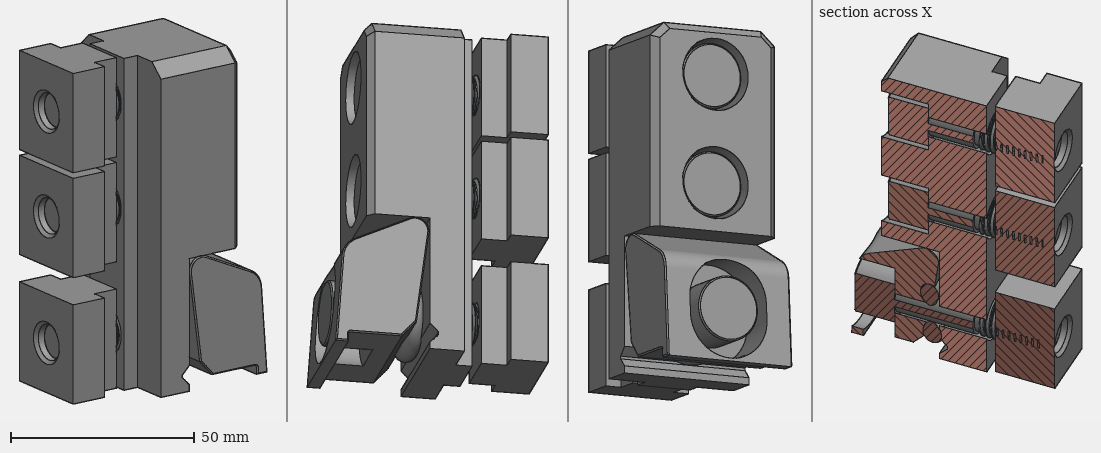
import cadquery as cq
import math

nut_flange_depth = 10.5
nut_depth = 17.75
key_front = 20.3
housing_front = 24.85
foot_back = 34.4
housing_back = 51.75
jaw_tip_y = 60.69

width = 38.1
height = 95.25
foot_height = 38.1
key_width = 16.0
shoulder_chamfer_x = 4.27
shoulder_chamfer_z = 3.9
back_chamfer = 2.0
notch_depth = 2.35
notch_flat = 0.75
notch_center_z = 4.7

nut_top_z = 95.96
nut_width = 25.3
nut_height = 28.5
nut_mouth_chamfer = 0.95
top_screw_z = nut_top_z - nut_height / 2
upper_screw_spacing = 30.1
lower_screw_spacing = 36.3
middle_screw_z = top_screw_z - upper_screw_spacing
jaw_screw_z = middle_screw_z - lower_screw_spacing

screw_radius = 6.0
thread_root_radius = 5.1
thread_pitch = 1.75
thread_crest_width = thread_pitch / 8
thread_root_width = thread_pitch * 7 / 8
thread_root_overlap = 0.1
thread_length = 19.0
screw_tip_y = 2.7
screw_tip_chamfer = 0.35
thread_start = screw_tip_y + thread_pitch / 2
thread_end = thread_start + thread_length
shank_start = thread_end + thread_pitch
head_radius = 9.0
head_height = 12.0
head_chamfer = 0.4
housing_screw_length = 35.0
jaw_screw_length = 45.0
jaw_screw_turn = 90
clearance_radius = 6.75
counterbore_radius = 10.0

jaw_tip_z = 0.5
jaw_lip_depth = 3.6
jaw_floor_z = 3.2
jaw_lip_fillet = 0.6
jaw_heel_y = 42.2
jaw_toe_y = 38.1
jaw_toe_z = 7.7
jaw_back_angle = 4.2
jaw_top_angle = 24.9
jaw_top_corner_z = 29.15
jaw_peak_y = 33.75
jaw_back_fillet = 6.35
jaw_edge_chamfer = 0.4
jaw_slot_width = 23.4
jaw_slot_length = 28.0

ring_tube_radius = 2.67
ring_radius = 9.13
ring_center_y = 36.92
ring_tilt = 3.0


def cylinder_y(radius, y_start, y_end, z):
    """Cylinder along Y at height z on the mid plane."""
    return cq.Workplane(
        cq.Solid.makeCylinder(radius, y_end - y_start, cq.Vector(0, y_start, z), cq.Vector(0, 1, 0))
    )


def extrude_across(outline):
    """Solid of full width from an outline of (Y, Z) points."""
    return cq.Workplane("YZ").polyline(outline).close().extrude(width / 2, both=True)


def thread_ridge(turn):
    """Helical ridge around the Y axis, rooted just inside the screw's core and turned by an angle."""
    root = thread_root_radius - thread_root_overlap
    helix = cq.Wire.makeHelix(thread_pitch, thread_length + thread_pitch, root)
    ridge = (
        cq.Workplane("XZ")
        .polyline([
            (root, -thread_root_width / 2),
            (screw_radius, -thread_crest_width / 2),
            (screw_radius, thread_crest_width / 2),
            (root, thread_root_width / 2),
        ])
        .close()
        .sweep(cq.Workplane(helix), isFrenet=True)
        .translate((0, 0, -thread_pitch / 2))
    )
    limits = cq.Workplane("XY").circle(screw_radius * 2).extrude(thread_length)
    return (
        ridge.intersect(limits)
        .rotate((0, 0, 0), (0, 0, 1), turn)
        .rotate((0, 0, 0), (1, 0, 0), -90)
        .translate((0, thread_start, 0))
    )


def make_screw(length, ridge):
    """Socket head cap screw on the Y axis, with its tip towards -Y and its thread at the tip end."""
    seat_y = screw_tip_y + length
    head_y = seat_y + head_height
    blank = (
        cq.Workplane("XY")
        .polyline([
            (0, screw_tip_y),
            (thread_root_radius - screw_tip_chamfer, screw_tip_y),
            (thread_root_radius, screw_tip_y + screw_tip_chamfer),
            (thread_root_radius, shank_start),
            (screw_radius, shank_start),
            (screw_radius, seat_y),
            (head_radius, seat_y),
            (head_radius, head_y - head_chamfer),
            (head_radius - head_chamfer, head_y),
            (0, head_y),
        ])
        .close()
        .revolve(360, (0, 0, 0), (0, 1, 0))
    )
    return blank.union(ridge)


def make_nut(ridge):
    """T-nut on the Y axis with a chamfered hole, threaded to match its screw."""
    flange = cq.Workplane("XY").box(nut_width, nut_flange_depth, nut_height, centered=(True, False, True))
    neck = cq.Workplane("XY").box(key_width, nut_depth, nut_height, centered=(True, False, True))
    bore = cylinder_y(thread_root_radius, -thread_pitch, shank_start, 0)
    threaded = flange.union(neck).cut(bore.union(ridge))
    return threaded.faces("<Y").edges("%CIRCLE").chamfer(nut_mouth_chamfer)


def make_ring():
    """O-ring around the jaw screw, leaning back slightly at the top."""
    center = cq.Vector(0, ring_center_y, jaw_screw_z)
    lean = math.radians(ring_tilt)
    axis = cq.Vector(0, math.cos(lean), -math.sin(lean))
    return cq.Workplane(cq.Solid.makeTorus(ring_radius, ring_tube_radius, center, axis))


def make_housing(ring):
    """Stepped block with a front key, a notch in the foot, and screw holes."""
    notch_half = notch_depth + notch_flat / 2
    block = extrude_across([
        (housing_front, 0),
        (foot_back, 0),
        (foot_back, notch_center_z - notch_half),
        (foot_back - notch_depth, notch_center_z - notch_flat / 2),
        (foot_back - notch_depth, notch_center_z + notch_flat / 2),
        (foot_back, notch_center_z + notch_half),
        (foot_back, foot_height),
        (housing_back, foot_height),
        (housing_back, height),
        (housing_front, height),
    ])
    for side in (-1, 1):
        edge = side * width / 2
        shoulder = (
            cq.Workplane("XZ")
            .polyline([
                (edge, height),
                (edge - side * shoulder_chamfer_x, height),
                (edge, height - shoulder_chamfer_z),
            ])
            .close()
            .extrude(-housing_back)
        )
        block = block.cut(shoulder)
    block = block.faces(">Y").edges("not(<Z)").chamfer(back_chamfer)
    key = cq.Workplane("XY").box(
        key_width, housing_front - key_front, height, centered=(True, False, False)
    ).translate((0, key_front, 0))
    housing = block.union(key)

    seat_y = screw_tip_y + housing_screw_length
    for z in (top_screw_z, middle_screw_z):
        housing = housing.cut(cylinder_y(clearance_radius, key_front, housing_back, z))
        housing = housing.cut(cylinder_y(counterbore_radius, seat_y, housing_back, z))
    housing = housing.cut(cylinder_y(clearance_radius, key_front, foot_back, jaw_screw_z))
    return housing.cut(ring)


def make_jaw(ring):
    """Leaning wedge jaw with a hooked lip and a slotted pocket for the screw head."""
    back_lean = (jaw_top_corner_z - jaw_tip_z) * math.tan(math.radians(jaw_back_angle))
    top_corner_y = jaw_tip_y - back_lean
    top_rise = (top_corner_y - jaw_peak_y) * math.tan(math.radians(jaw_top_angle))
    peak_z = jaw_top_corner_z + top_rise

    front_angle = math.degrees(math.atan2(peak_z - jaw_toe_z, jaw_toe_y - jaw_peak_y))
    half_corner = (front_angle - jaw_top_angle) / 2
    rise_ratio = math.sin(math.radians(jaw_top_angle + half_corner)) / math.sin(math.radians(half_corner))
    peak_fillet = (peak_z - foot_height) / (rise_ratio - 1)

    lip_y = jaw_tip_y - jaw_lip_depth
    body = extrude_across([
        (jaw_tip_y, jaw_tip_z),
        (top_corner_y, jaw_top_corner_z),
        (jaw_peak_y, peak_z),
        (jaw_toe_y, jaw_toe_z),
        (jaw_heel_y, jaw_floor_z),
        (lip_y, jaw_floor_z),
        (lip_y, jaw_tip_z),
    ])
    rounded_corners = [
        (top_corner_y, jaw_top_corner_z, jaw_back_fillet),
        (jaw_peak_y, peak_z, peak_fillet),
        (lip_y, jaw_floor_z, jaw_lip_fillet),
    ]
    for y, z, radius in rounded_corners:
        body = body.edges(cq.selectors.NearestToPointSelector((0, y, z))).fillet(radius)
    body = body.faces("<X or >X").edges().chamfer(jaw_edge_chamfer)

    seat_y = screw_tip_y + jaw_screw_length
    pocket = (
        cq.Workplane("XZ", origin=(0, seat_y, jaw_screw_z))
        .slot2D(jaw_slot_length, jaw_slot_width, 90)
        .extrude(-(jaw_tip_y - seat_y))
    )
    hole = cylinder_y(clearance_radius, housing_front, seat_y, jaw_screw_z)
    return body.cut(pocket).cut(hole).cut(ring)


ring = make_ring()
housing = make_housing(ring)
jaw = make_jaw(ring)

screws = []
nuts = []
for length, turn, heights in [
    (housing_screw_length, 0, (top_screw_z, middle_screw_z)),
    (jaw_screw_length, jaw_screw_turn, (jaw_screw_z,)),
]:
    ridge = thread_ridge(turn)
    screw = make_screw(length, ridge)
    nut = make_nut(ridge)
    for z in heights:
        screws.append(screw.translate((0, 0, z)))
        nuts.append(nut.translate((0, 0, z)))

result = cq.Compound.makeCompound(
    [housing.val(), jaw.val(), ring.val()]
    + [nut.val() for nut in nuts]
    + [screw.val() for screw in screws]
)